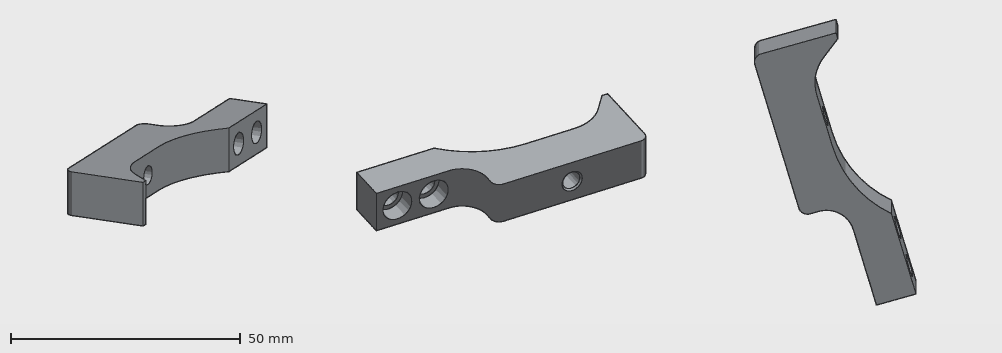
import cadquery as cq
import math

length = 62.0
width = 19.0
thickness = 10.0

arm_width = 9.0
body_length = 38.0
step_fillet = 6.0
corner_radius = 2.0

web_width = 11.0
flat_start = 12.5
flat_length = 12.1
upper_arc_radius = 24.9
lower_arc_radius = 10.0
tip_height = 1.4

mount_hole_diameter = 5.0
counterbore_diameter = 7.1
counterbore_depth = 4.2
mount_hole_count = 2
mount_hole_spacing = 9.0
mount_hole_end_distance = 5.2

web_hole_diameter = 4.2
web_hole_mouth_diameter = 5.0
web_hole_y = 19.0

arm_face_x = width - arm_width
mid_z = thickness / 2
flat_end = flat_start + flat_length
web_hole_chamfer = (web_hole_mouth_diameter - web_hole_diameter) / 2


def upper_arc_point(x):
    """Point at x on the upper arc, which leaves the recess flat tangentially."""
    run = web_width + upper_arc_radius - x
    return (x, flat_end + math.sqrt(upper_arc_radius**2 - run**2))


def lower_arc_point(angle):
    """Point on the lower arc after turning by angle from the recess flat."""
    x = web_width + lower_arc_radius * (1 - math.cos(angle))
    y = flat_start - lower_arc_radius * math.sin(angle)
    return (x, y)


def lower_arc_turn():
    """Angle of the lower arc at which its tangent runs through the tip corner."""
    dx = web_width + lower_arc_radius - width
    dy = flat_start - tip_height
    return math.atan2(dy, dx) - math.acos(lower_arc_radius / math.hypot(dx, dy))


def make_body():
    """Extruded outline with the step fillet and rounded outer corners."""
    turn = lower_arc_turn()
    outline = (
        cq.Workplane("XY")
        .moveTo(0, 0)
        .lineTo(width, 0)
        .lineTo(width, tip_height)
        .lineTo(*lower_arc_point(turn))
        .threePointArc(lower_arc_point(turn / 2), (web_width, flat_start))
        .lineTo(web_width, flat_end)
        .threePointArc(upper_arc_point((web_width + width) / 2), upper_arc_point(width))
        .lineTo(width, length)
        .lineTo(arm_face_x, length)
        .lineTo(arm_face_x, body_length)
        .lineTo(0, body_length)
        .close()
    )
    body = outline.extrude(thickness)
    step_edge = cq.selectors.NearestToPointSelector((arm_face_x, body_length, mid_z))
    body = body.edges(step_edge).fillet(step_fillet)
    for corner_y in (0, body_length):
        corner_edge = cq.selectors.NearestToPointSelector((0, corner_y, mid_z))
        body = body.edges(corner_edge).fillet(corner_radius)
    return body


def x_cylinder(diameter, start_x, depth, y):
    """Cylinder along +X at mid thickness."""
    start = cq.Vector(start_x, y, mid_z)
    return cq.Solid.makeCylinder(diameter / 2, depth, start, cq.Vector(1, 0, 0))


def cut_mount_holes(body):
    """Through holes in the arm, counterbored from its -X face."""
    for index in range(mount_hole_count):
        y = length - mount_hole_end_distance - index * mount_hole_spacing
        body = body.cut(x_cylinder(mount_hole_diameter, arm_face_x, arm_width, y))
        body = body.cut(x_cylinder(counterbore_diameter, arm_face_x, counterbore_depth, y))
    return body


def cut_web_hole(body):
    """Through hole in the web with a 45 degree chamfer at its -X mouth."""
    chamfer = cq.Solid.makeCone(
        web_hole_mouth_diameter / 2,
        web_hole_diameter / 2,
        web_hole_chamfer,
        cq.Vector(0, web_hole_y, mid_z),
        cq.Vector(1, 0, 0),
    )
    body = body.cut(x_cylinder(web_hole_diameter, 0, web_width, web_hole_y))
    return body.cut(chamfer)


result = cut_web_hole(cut_mount_holes(make_body()))